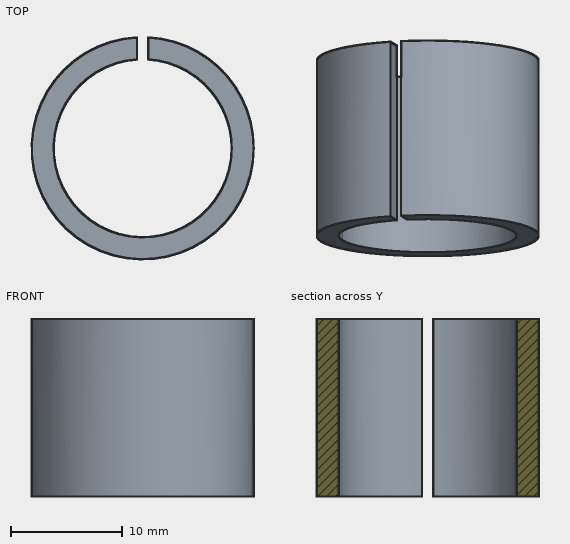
import cadquery as cq

outer_diameter = 19.99
wall = 2.0
height = 16.0
slit_width = 1.0

outer_radius = outer_diameter / 2
inner_radius = outer_radius - wall

sleeve = cq.Workplane("XY").circle(outer_radius).circle(inner_radius).extrude(height)

slit = cq.Workplane("XY").box(slit_width, outer_diameter, height, centered=(True, False, False))

result = sleeve.cut(slit)